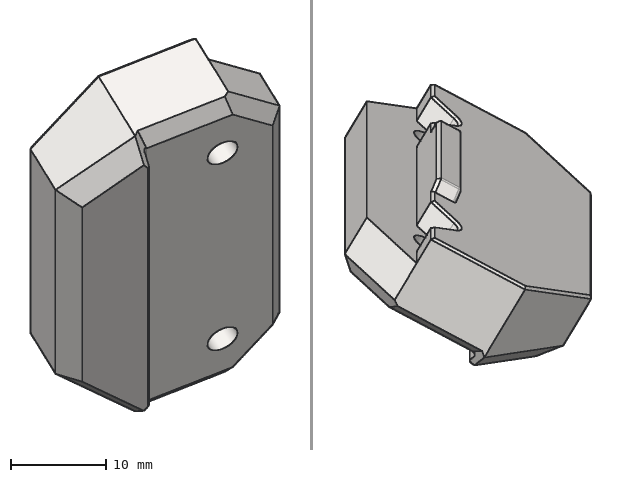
import cadquery as cq
import math


length = 48.0
half_length = length / 2
wing_width = 6.0
body_width = 19.3
body_corner = 7.95
knee_y = body_corner - body_width

wing_front_x = 3.3
wing_bevel_x = 8.0
back_x = 9.6
wing_bevel = back_x - wing_bevel_x
front_chamfer = 0.3

skirt_base_x = 6.25
skirt_break_x = 9.0
skirt_break_y = -17.5
lip_x = 11.2
lip_top_y = -10.7
lip_radius = 0.25
lip_root = 0.4
corner_bevel_end_x = 9.0
lip_end_drop = 2.75
lip_end_slope = 1.2

end_bevel_x = 8.45
end_bevel_angle = 60
end_bevel_drop = (back_x - end_bevel_x) * math.tan(math.radians(end_bevel_angle))

hole_diameter = 3.5
hole_y = -1.45
hole_heights = (16.05, -16.35)
notch_radius = 1.8

tab_height = 1.3
tab_width = 2.9
tab_top_z = 9.7
tab_bottom_z = -9.6
tab_edge = 0.4


def trim(body, a, b, c):
    """Remove what lies behind (+X side of) the plane through three points."""
    a, b, c = cq.Vector(*a), cq.Vector(*b), cq.Vector(*c)
    normal = (b - a).cross(c - a)
    if normal.x < 0:
        normal = normal * -1
    plane = cq.Plane(origin=a.toTuple(), xDir=(b - a).toTuple(), normal=normal.toTuple())
    return body.cut(cq.Workplane(plane).rect(4 * length, 4 * length).extrude(length))


def make_section():
    """Constant X-Y section, extruded over the full length."""
    lip_tip_y = lip_top_y - lip_radius
    arc_step = lip_radius * math.sqrt(0.5)
    root_step = lip_root * (1 - math.sqrt(0.5))
    return (
        cq.Workplane("XY", origin=(0, 0, -half_length))
        .lineTo(wing_front_x, 0)
        .lineTo(wing_front_x, wing_width)
        .lineTo(wing_bevel_x, wing_width)
        .lineTo(back_x, wing_width - wing_bevel)
        .lineTo(back_x, lip_top_y + lip_root)
        .threePointArc((back_x + root_step, lip_top_y + root_step), (back_x + lip_root, lip_top_y))
        .lineTo(lip_x - lip_radius, lip_top_y)
        .threePointArc((lip_x - lip_radius + arc_step, lip_tip_y + arc_step), (lip_x, lip_tip_y))
        .lineTo(skirt_break_x, skirt_break_y)
        .lineTo(skirt_base_x, -body_width)
        .lineTo(0, -body_width)
        .close()
        .extrude(length)
    )


def make_outline():
    """Octagonal Y-Z outline as a prism through the whole thickness."""
    wing_z = half_length - wing_width
    body_z = half_length - body_corner
    upper = [(wing_width, wing_z), (0, half_length), (knee_y, half_length), (-body_width, body_z)]
    lower = [(y, -z) for y, z in reversed(upper)]
    return cq.Workplane("YZ").polyline(upper + lower).close().extrude(length)


def make_notch(z):
    """Notch around a hole: a concentric arc with tangent 45 degree flanks."""
    tangent = notch_radius * math.sqrt(0.5)
    mouth = notch_radius * math.sqrt(2) - hole_y
    return (
        cq.Workplane("YZ")
        .moveTo(0, z + mouth)
        .lineTo(hole_y - tangent, z + tangent)
        .threePointArc((hole_y - notch_radius, z), (hole_y - tangent, z - tangent))
        .lineTo(0, z - mouth)
        .close()
        .extrude(wing_front_x)
    )


def bevel_corner(body, side):
    """Bevel the back edge along a -Y corner; side is +1 for +Z, -1 for -Z."""
    return trim(
        body,
        (skirt_base_x, -body_width, side * (half_length - body_corner)),
        (corner_bevel_end_x, knee_y, side * half_length),
        (lip_x, knee_y, side * (half_length - lip_end_drop)),
    )


def slope_lip_end(body, side):
    """Slope one end of the lip, falling away from the corner towards +Y."""
    lip_end_z = half_length - lip_end_drop
    return trim(
        body,
        (corner_bevel_end_x, knee_y, side * half_length),
        (lip_x, knee_y, side * lip_end_z),
        (lip_x, 0, side * (lip_end_z + knee_y * lip_end_slope)),
    )


def bevel_block_end(block, side):
    """Bevel the back edges of the block around one end."""
    end_z = side * half_length
    slant_inset = wing_bevel * math.sqrt(2)
    block = trim(
        block,
        (wing_bevel_x, 0, end_z),
        (wing_bevel_x, wing_width, end_z - side * wing_width),
        (back_x, -slant_inset, end_z),
    )
    return trim(
        block,
        (end_bevel_x, 0, end_z),
        (end_bevel_x, wing_width, end_z),
        (back_x, 0, end_z - side * end_bevel_drop),
    )


def make_tab():
    """Rounded bar with a 45 degree lower end, rooted inside the body."""
    root_x = 2 * front_chamfer
    tab = (
        cq.Workplane("XZ")
        .moveTo(root_x, tab_top_z)
        .lineTo(-tab_height, tab_top_z)
        .lineTo(-tab_height, tab_bottom_z + tab_height)
        .lineTo(0, tab_bottom_z)
        .lineTo(root_x, tab_bottom_z)
        .close()
        .extrude(tab_width)
    )
    tab = tab.faces(">Y").edges("not >X").chamfer(tab_edge)
    return tab.faces("<X or <Y").edges("not >X").edges("not >Y").fillet(tab_edge)


body = make_section().intersect(make_outline())
for hole_z in hole_heights:
    body = body.cut(make_notch(hole_z))
body = body.faces("<X").edges().chamfer(front_chamfer)

for side in (1, -1):
    body = bevel_corner(body, side)

block = body.intersect(cq.Workplane("XY").box(2 * back_x, 2 * length, 2 * length))
skirt = body
for side in (1, -1):
    block = bevel_block_end(block, side)
    skirt = slope_lip_end(skirt, side)
body = block.union(skirt)

holes = (
    cq.Workplane("YZ")
    .pushPoints([(hole_y, hole_z) for hole_z in hole_heights])
    .circle(hole_diameter / 2)
    .extrude(length)
)

result = body.cut(holes).union(make_tab())